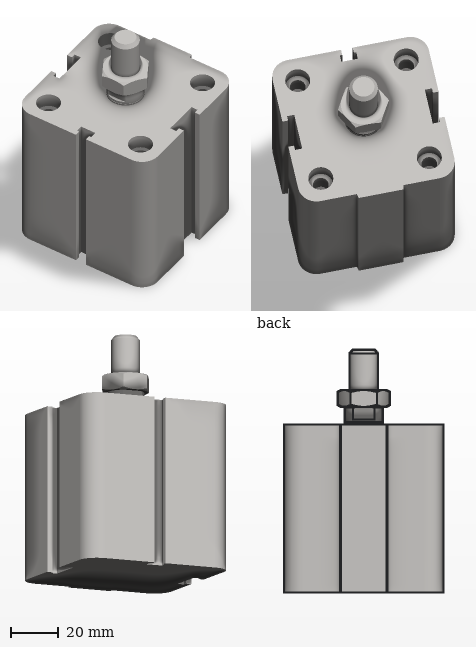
import cadquery as cq
import math


total_height = 102.0

housing_width = 67.0
housing_height = 70.6
corner_radius = 7.9

pad_height = 1.9
pad_top_width = 19.2
pad_base_width = 19.9

wide_slot_opening = 11.9
wide_slot_inner_width = 16.0
narrow_slot_opening = 5.0
narrow_slot_inner_width = 7.0
slot_lip = 2.4
slot_depth = 5.5

hole_spacing = 46.5
hole_diameter = 6.6
hole_depth = 14.9
counterbore_diameter = 10.5
counterbore_depth = 6.4

rod_diameter = 16.0
groove_diameter = 15.6
groove_bottom_offset = 0.7
groove_width = 0.3
shoulder_chamfer = 0.3
stud_diameter = 12.0
stud_tip_diameter = 9.2
stud_chamfer_height = 1.6
flats_width = 13.4
flats_bottom_offset = 2.0

nut_across_flats = 19.0
nut_height = 7.1
nut_bottom_offset = 7.3
nut_sides = 6
nut_chamfer_angle = 30.0
countersink_diameter = 12.6

housing_half = housing_width / 2
nut_bottom = housing_height + nut_bottom_offset


def t_slot(opening, inner_width):
    """T-slot cutter over the full housing height, in the -Y side."""
    lip = cq.Workplane("XY").box(opening, slot_lip, housing_height, centered=(True, False, False))
    inner_depth = slot_depth - slot_lip
    inner = (
        cq.Workplane("XY")
        .box(inner_width, inner_depth, housing_height, centered=(True, False, False))
        .translate((0, slot_lip, 0))
    )
    return lip.union(inner).translate((0, -housing_half, 0))


def make_pad():
    """Trapezoidal strip along the +Y side, rooted at the housing face."""
    outer_y = housing_half + pad_height
    return (
        cq.Workplane("XY")
        .moveTo(-pad_base_width / 2, housing_half)
        .lineTo(pad_base_width / 2, housing_half)
        .lineTo(pad_top_width / 2, outer_y)
        .lineTo(-pad_top_width / 2, outer_y)
        .close()
        .extrude(housing_height)
    )


def make_housing():
    block = (
        cq.Workplane("XY")
        .box(housing_width, housing_width, housing_height, centered=(True, True, False))
        .edges("|Z")
        .fillet(corner_radius)
        .union(make_pad())
        .cut(t_slot(narrow_slot_opening, narrow_slot_inner_width))
    )
    wide_slot = t_slot(wide_slot_opening, wide_slot_inner_width)
    for angle in (-90, 90):
        block = block.cut(wide_slot.rotate((0, 0, 0), (0, 0, 1), angle))
    return (
        block.faces(">Z")
        .workplane(origin=(0, 0, housing_height))
        .rarray(hole_spacing, hole_spacing, 2, 2)
        .cboreHole(hole_diameter, counterbore_diameter, counterbore_depth, hole_depth)
    )


def make_rod():
    """Turned rod from the housing top to the stud tip, with two wrench flats."""
    rod_radius = rod_diameter / 2
    groove_radius = groove_diameter / 2
    stud_radius = stud_diameter / 2
    groove_bottom = housing_height + groove_bottom_offset
    groove_top = groove_bottom + groove_width
    turned = (
        cq.Workplane("XZ")
        .moveTo(0, housing_height)
        .lineTo(rod_radius, housing_height)
        .lineTo(rod_radius, groove_bottom)
        .lineTo(groove_radius, groove_bottom)
        .lineTo(groove_radius, groove_top)
        .lineTo(rod_radius, groove_top)
        .lineTo(rod_radius, nut_bottom - shoulder_chamfer)
        .lineTo(rod_radius - shoulder_chamfer, nut_bottom)
        .lineTo(stud_radius, nut_bottom)
        .lineTo(stud_radius, total_height - stud_chamfer_height)
        .lineTo(stud_tip_diameter / 2, total_height)
        .lineTo(0, total_height)
        .close()
        .revolve(360, (0, 0, 0), (0, 1, 0))
    )
    flats_bottom = housing_height + flats_bottom_offset
    flats_height = nut_bottom - flats_bottom
    flats_cutter = (
        cq.Workplane("XY", origin=(0, 0, flats_bottom))
        .rect(2 * rod_diameter, 2 * rod_diameter)
        .rect(2 * rod_diameter, flats_width)
        .extrude(flats_height)
    )
    return turned.cut(flats_cutter)


def make_nut():
    """Hexagon nut with corners along X, chamfered on both faces."""
    corner_diameter = nut_across_flats / math.cos(math.pi / nut_sides)
    hex_corner_radius = corner_diameter / 2
    face_radius = nut_across_flats / 2
    chamfer_drop = (hex_corner_radius - face_radius) * math.tan(math.radians(nut_chamfer_angle))
    hexagon = cq.Workplane("XY").polygon(nut_sides, corner_diameter).extrude(nut_height)
    envelope = (
        cq.Workplane("XZ")
        .moveTo(0, 0)
        .lineTo(face_radius, 0)
        .lineTo(hex_corner_radius, chamfer_drop)
        .lineTo(hex_corner_radius, nut_height - chamfer_drop)
        .lineTo(face_radius, nut_height)
        .lineTo(0, nut_height)
        .close()
        .revolve(360, (0, 0, 0), (0, 1, 0))
    )
    countersink_depth = (countersink_diameter - stud_diameter) / 2
    nut = hexagon.intersect(envelope).faces(">Z").workplane().hole(stud_diameter)
    bore_edges = nut.faces("<Z or >Z").edges("%CIRCLE").edges(cq.selectors.RadiusNthSelector(0))
    return bore_edges.chamfer(countersink_depth).translate((0, 0, nut_bottom))


housing = make_housing()
rod = make_rod()
nut = make_nut()

result = cq.Compound.makeCompound([housing.val(), rod.val(), nut.val()])